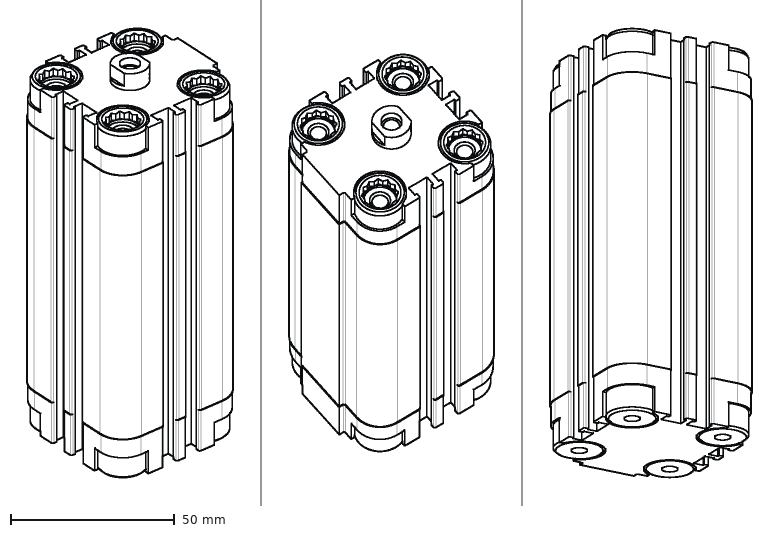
import cadquery as cq
import math


total_height = 130.5
width = 50.0
depth_with_rib = 52.0
rod_projection = 6.0
housing_height = total_height - rod_projection
half_width = width / 2

corner_radius = 9.0
cap_height = 14.7
cap_inset = 0.3
rib_width = 19.6
rib_height = depth_with_rib - width
rib_base_radius = 0.5

slot_depth = 5.2
lip_thickness = 2.0
web_half_width = 1.0
web_flange_half_width = 1.8
mouth_outer_edge = 7.2
pocket_outer_edge = 8.0
mouth_radius = 0.5

boss_offset = half_width - corner_radius
boss_diameter = 16.0
notch_edge = 13.0
notch_height = 8.1
top_chamfer_width = 0.7
top_chamfer_height = 1.2
bottom_chamfer = 0.8
cutter_margin = 1.3

socket_mouth_diameter = 12.8
socket_point_diameter = 11.2
hexagon_sides = 6
socket_mouth_depth = 1.0
socket_depth = 3.3
counterbore_diameter = 10.0
counterbore_depth = 4.2
through_diameter = 5.0
through_mouth_diameter = 6.4

rod_diameter = 12.0
rod_across_flats = 10.0
flat_height = 4.6
rod_length = rod_projection + cap_height
hole_mouth_diameter = 6.4
hole_mouth_depth = 2.5
hole_diameter = 5.0
hole_depth = 10.5
drill_tip_angle = 118.0


def slot_pair(inset, bottom, height):
    """Cutter for the two T-slots of the -Y side, with lips rounded where they meet the inset side."""
    face = -half_width + inset
    round_end = face + mouth_radius
    lip_back = -half_width + lip_thickness
    slot_floor = -half_width + slot_depth
    right_slot = (
        cq.Workplane("XY", origin=(0, 0, bottom))
        .moveTo(web_flange_half_width - mouth_radius, face)
        .radiusArc((web_flange_half_width, round_end), -mouth_radius)
        .lineTo(web_flange_half_width, lip_back)
        .lineTo(web_half_width, lip_back)
        .lineTo(web_half_width, slot_floor)
        .lineTo(pocket_outer_edge, slot_floor)
        .lineTo(pocket_outer_edge, lip_back)
        .lineTo(mouth_outer_edge, lip_back)
        .lineTo(mouth_outer_edge, round_end)
        .radiusArc((mouth_outer_edge + mouth_radius, face), -mouth_radius)
        .close()
        .extrude(height)
    )
    return right_slot.union(right_slot.mirror("YZ"))


def section_block(inset, bottom, height):
    """Slotted rounded square with the +Y rib, its outer sides moved inwards by the inset."""
    side = width - 2 * inset
    block = (
        cq.Workplane("XY", origin=(0, 0, bottom))
        .rect(side, side)
        .extrude(height)
        .edges("|Z")
        .fillet(corner_radius - inset)
    )
    rib_top = half_width + rib_height - inset
    rib = (
        cq.Workplane("XY", origin=(0, rib_top / 2, bottom))
        .rect(rib_width - 2 * inset, rib_top)
        .extrude(height)
    )
    section = block.union(rib)
    for rib_side in (-1, 1):
        base = (rib_side * (rib_width / 2 - inset), half_width - inset, bottom + height / 2)
        section = section.edges(cq.selectors.NearestToPointSelector(base)).fillet(rib_base_radius)

    slots = slot_pair(inset, bottom, height)
    for turn in (-90, 0, 90):
        section = section.cut(slots.rotate((0, 0, 0), (0, 0, 1), turn))
    return section


def cone(large_diameter, small_diameter, top, height):
    """Cone frustum that narrows downwards from the height `top`."""
    return cq.Workplane(
        cq.Solid.makeCone(large_diameter / 2, small_diameter / 2, height,
                          cq.Vector(0, 0, top), cq.Vector(0, 0, -1))
    )


def cylinder(diameter, bottom, top):
    """Cylinder on the Z axis between two heights."""
    return cq.Workplane("XY", origin=(0, 0, bottom)).circle(diameter / 2).extrude(top - bottom)


def corner_notch(bottom):
    """Cutter around a boss at the origin: the outer corner up to the notch edges, less the boss."""
    inner_edge = boss_offset - notch_edge
    side = inner_edge + corner_radius + cutter_margin
    corner = (
        cq.Workplane("XY", origin=(inner_edge, inner_edge, bottom))
        .rect(-side, -side, centered=False)
        .extrude(notch_height)
    )
    return corner.cut(cylinder(boss_diameter, bottom, bottom + notch_height))


def boss_chamfer(end, direction, chamfer_width, chamfer_height):
    """Ring cutter that bevels a boss at the housing end face `end`; `direction` points into the housing."""
    axis = cq.Vector(0, 0, direction)
    ring = cq.Solid.makeCylinder(boss_diameter / 2, chamfer_height, cq.Vector(0, 0, end), axis)
    core = cq.Solid.makeCone(boss_diameter / 2 - chamfer_width, boss_diameter / 2, chamfer_height,
                             cq.Vector(0, 0, end), axis)
    return cq.Workplane(ring).cut(cq.Workplane(core))


def screw_socket():
    """Cutter for a twelve-point socket, counterbore and through hole on the axis of a boss."""
    socket = cylinder(through_diameter, 0, housing_height)
    half_pitch = 360 / hexagon_sides / 2
    for turn in (0, half_pitch):
        hexagon = (
            cq.Workplane("XY", origin=(0, 0, housing_height - socket_depth))
            .polygon(hexagon_sides, socket_point_diameter)
            .extrude(socket_depth)
            .rotate((0, 0, 0), (0, 0, 1), turn)
        )
        socket = socket.union(hexagon)
    counterbore_floor = housing_height - counterbore_depth
    through_mouth_depth = (through_mouth_diameter - through_diameter) / 2
    return (
        socket
        .union(cylinder(counterbore_diameter, counterbore_floor, housing_height))
        .union(cone(socket_mouth_diameter, counterbore_diameter, housing_height, socket_mouth_depth))
        .union(cone(through_mouth_diameter, through_diameter, counterbore_floor, through_mouth_depth))
    )


def make_housing():
    """Barrel with its two end caps, the corner bosses and the bore that takes the rod."""
    body = section_block(0, cap_height, housing_height - 2 * cap_height)
    for cap_bottom in (0, housing_height - cap_height):
        body = body.union(section_block(cap_inset, cap_bottom, cap_height))

    corner_cutters = [
        corner_notch(0),
        corner_notch(housing_height - notch_height),
        boss_chamfer(0, 1, bottom_chamfer, bottom_chamfer),
        boss_chamfer(housing_height, -1, top_chamfer_width, top_chamfer_height),
        screw_socket(),
    ]
    for cutter in corner_cutters:
        placed = cutter.translate((-boss_offset, -boss_offset, 0))
        for quarter in range(4):
            body = body.cut(placed.rotate((0, 0, 0), (0, 0, 1), 90 * quarter))

    rod_bore = cylinder(rod_diameter, total_height - rod_length, housing_height)
    return body.cut(rod_bore)


def make_rod():
    """Piston rod with wrench flats and a stepped blind hole in its free end."""
    rod = cylinder(rod_diameter, total_height - rod_length, total_height)

    flats = (
        cq.Workplane("XY", origin=(0, 0, total_height - flat_height))
        .rect(2 * rod_diameter, 2 * rod_diameter)
        .rect(2 * rod_diameter, rod_across_flats)
        .extrude(flat_height)
    )
    hole_floor = total_height - hole_depth
    tip_height = hole_diameter / 2 / math.tan(math.radians(drill_tip_angle / 2))
    return (
        rod.cut(flats)
        .cut(cylinder(hole_diameter, hole_floor, total_height))
        .cut(cone(hole_diameter, 0, hole_floor, tip_height))
        .cut(cylinder(hole_mouth_diameter, total_height - hole_mouth_depth, total_height))
    )


housing = make_housing()
rod = make_rod()
result = cq.Compound.makeCompound([housing.val(), rod.val()])